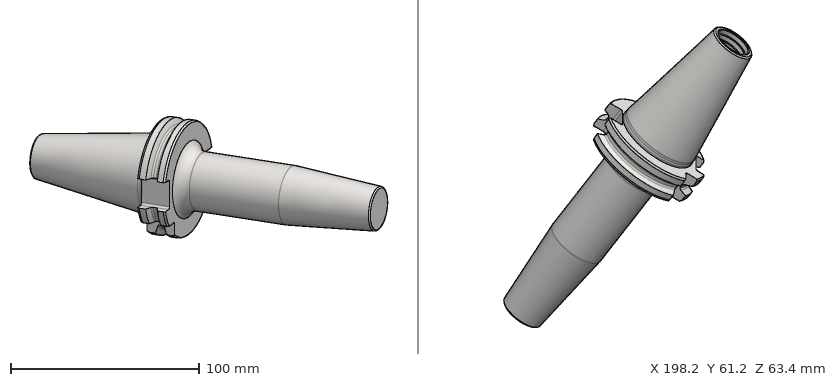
import cadquery as cq
import math

length = 198.2
gauge_x = 67.6
collar_cone_x = 69.0
collar_step_x = 70.2
flange_start = 71.2
flange_end = 87.5
neck_start = 95.0
nose_start = 147.0

taper_small_r = 12.3
gauge_r = 22.2
collar_r = 22.5
flange_r = 31.7
neck_r = 16.0
nose_tip_r = 12.0
neck_blend_r = 8.1
end_chamfer = 0.8
flange_chamfer_x = 1.2
flange_chamfer_r = 0.5

groove_center = 79.5
groove_floor_r = 27.8
groove_floor_half = 1.5
groove_corner_r = 1.2
groove_top_half = 3.4

slot_width = 16.5
slot_floor_front = 25.0
slot_floor_back = 22.6
notch_y = 18.2
notch_z = 18.0
slot_corner_r = 1.2
cutter_size = 39.6

mouth_r = 10.1
hole_floor_r = 7.1
hole_step_count = 5
hole_step_length = 3.0
step_chamfer_x = 0.4
drill_point_angle = 118.0


def revolve_about_x(profile):
    return profile.close().revolve(360, (0, 0, 0), (1, 0, 0))


def make_body():
    blend_run = neck_start - flange_end
    blend_foot_r = neck_r + neck_blend_r - math.sqrt(neck_blend_r**2 - blend_run**2)
    half_angle = math.asin(blend_run / neck_blend_r) / 2
    blend_mid = (
        neck_start - neck_blend_r * math.sin(half_angle),
        neck_r + neck_blend_r * (1 - math.cos(half_angle)),
    )
    profile = (
        cq.Workplane("XY")
        .moveTo(0, 0)
        .lineTo(0, taper_small_r - end_chamfer)
        .lineTo(end_chamfer, taper_small_r)
        .lineTo(gauge_x, gauge_r)
        .lineTo(collar_cone_x, gauge_r)
        .lineTo(collar_step_x, collar_r)
        .lineTo(flange_start, collar_r)
        .lineTo(flange_start, flange_r - flange_chamfer_r)
        .lineTo(flange_start + flange_chamfer_x, flange_r)
        .lineTo(groove_center - groove_top_half, flange_r)
        .lineTo(groove_center - groove_floor_half, groove_floor_r)
        .lineTo(groove_center + groove_floor_half, groove_floor_r)
        .lineTo(groove_center + groove_top_half, flange_r)
        .lineTo(flange_end - flange_chamfer_x, flange_r)
        .lineTo(flange_end, flange_r - flange_chamfer_r)
        .lineTo(flange_end, blend_foot_r)
        .threePointArc(blend_mid, (neck_start, neck_r))
        .lineTo(nose_start, neck_r)
        .lineTo(length - end_chamfer, nose_tip_r)
        .lineTo(length, nose_tip_r - end_chamfer)
        .lineTo(length, 0)
    )
    return revolve_about_x(profile)


def flange_cutter(y_center, z_center, height):
    """Block across the flange width with rounded lengthwise edges."""
    return (
        cq.Workplane("XY")
        .box(flange_end - flange_start, cutter_size, height)
        .edges("|X")
        .fillet(slot_corner_r)
        .translate(((flange_start + flange_end) / 2, y_center, z_center))
    )


def make_stepped_hole():
    """Hole narrowing in equal chamfered steps to a conical floor."""
    step_drop = (mouth_r - hole_floor_r) / hole_step_count
    point_length = hole_floor_r / math.tan(math.radians(drill_point_angle / 2))
    profile = cq.Workplane("XY").moveTo(0, 0).lineTo(0, mouth_r)
    for step in range(hole_step_count):
        step_x = step * hole_step_length
        step_r = mouth_r - (step + 1) * step_drop
        profile = profile.lineTo(step_x + step_chamfer_x, step_r)
        profile = profile.lineTo(step_x + hole_step_length, step_r)
    hole_depth = hole_step_count * hole_step_length
    profile = profile.lineTo(hole_depth + point_length, 0)
    return revolve_about_x(profile)


def round_groove_corners(body):
    floor_circles = [
        edge
        for edge in body.edges("%CIRCLE").vals()
        if math.isclose(edge.radius(), groove_floor_r)
    ]
    return body.newObject(floor_circles).fillet(groove_corner_r)


result = round_groove_corners(make_body())
result = result.cut(flange_cutter(-slot_floor_front - cutter_size / 2, 0, slot_width))
result = result.cut(flange_cutter(slot_floor_back + cutter_size / 2, 0, slot_width))
result = result.cut(
    flange_cutter(-notch_y - cutter_size / 2, -notch_z - cutter_size / 2, cutter_size)
)
result = result.cut(make_stepped_hole())